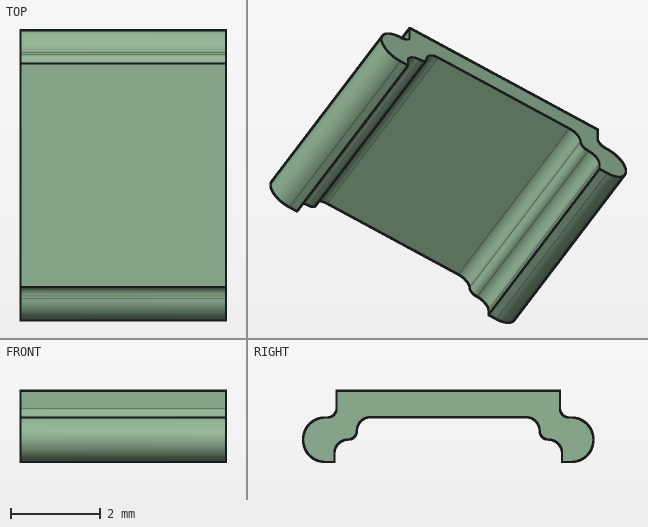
import cadquery as cq
import math

length = 4.6
width = 6.5
height = 1.6

plate_width = 5.0
bead_radius = 0.5
foot_gap = 5.08
convex_radius = 0.2
step_size = bead_radius
concave_radius = step_size - convex_radius

plate_edge = plate_width / 2
bead_center = width / 2 - bead_radius
shoulder = 2 * bead_radius
foot_inside = foot_gap / 2
step_inside = foot_inside - step_size


def quarter_arc(sketch, center, radius, start_angle, turn):
    """Add a quarter circle; angles in degrees, turn is +1 counterclockwise or -1 clockwise."""
    def point(angle):
        return (
            center[0] + radius * math.cos(math.radians(angle)),
            center[1] + radius * math.sin(math.radians(angle)),
        )

    return sketch.threePointArc(point(start_angle + turn * 45), point(start_angle + turn * 90))


def half_profile():
    """Outline of the +Y half of the cross-section, starting at the top centre."""
    sketch = cq.Workplane("YZ").moveTo(0, height).lineTo(plate_edge, height)

    sketch = sketch.lineTo(plate_edge, shoulder + convex_radius)
    neck_center = (plate_edge + convex_radius, shoulder + convex_radius)
    sketch = quarter_arc(sketch, neck_center, convex_radius, 180, 1)
    sketch = sketch.lineTo(bead_center, shoulder)
    sketch = sketch.threePointArc((width / 2, bead_radius), (bead_center, 0))

    sketch = sketch.lineTo(foot_inside, 0)
    sketch = sketch.lineTo(foot_inside, step_size - concave_radius)
    lower_center = (foot_inside - concave_radius, step_size - concave_radius)
    sketch = quarter_arc(sketch, lower_center, concave_radius, 0, 1)
    step_center = (step_inside + convex_radius, step_size + convex_radius)
    sketch = quarter_arc(sketch, step_center, convex_radius, 270, -1)
    upper_center = (step_inside - concave_radius, shoulder - concave_radius)
    sketch = quarter_arc(sketch, upper_center, concave_radius, 0, 1)
    return sketch.lineTo(0, shoulder).close()


half = half_profile().extrude(length / 2, both=True)
result = half.union(half.mirror("XZ")).clean()